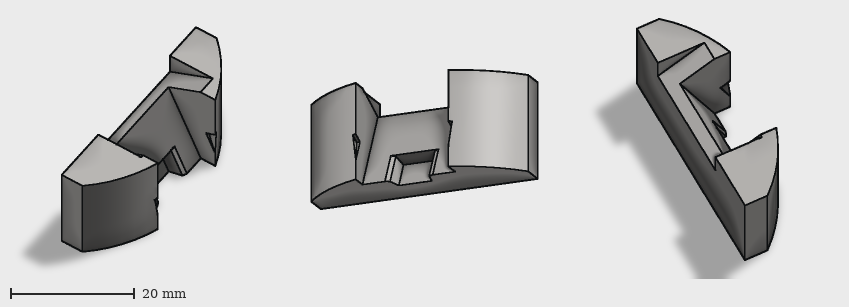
import cadquery as cq
import math

length = 38.1
height = 16.5
end_width = 4.08
max_width = 11.35
slot_width = 16.25
half_length = length / 2
half_slot = slot_width / 2

ramp_depth = 3.95
ramp_run = 8.45
ramp_y_min = -8.65
ramp_y_max = 11.65
ramp_angle = math.atan2(ramp_depth, ramp_run)

lip_width = 2.4
catch_start = 9.1
catch_end = 12.95
catch_depth = 0.57
catch_offset = 3.9
notch_start = 9.25
notch_mouth_width = 8.4
notch_throat_width = 6.85
notch_floor_width = 5.8
notch_throat_depth = 0.3
notch_depth = 2.45
reach = 2 * height

ramp_plane = cq.Plane(
    origin=(0, 0, -ramp_depth),
    xDir=(math.cos(ramp_angle), 0, math.sin(ramp_angle)),
    normal=(-math.sin(ramp_angle), 0, math.cos(ramp_angle)),
)


def make_body():
    center_x = (max_width**2 + half_slot**2 - end_width**2 - half_length**2) / (2 * (max_width - end_width))
    radius = math.hypot(end_width - center_x, half_length)
    return (
        cq.Workplane("XY")
        .moveTo(0, -half_length)
        .lineTo(end_width, -half_length)
        .threePointArc((center_x + radius, 0), (end_width, half_length))
        .lineTo(0, half_length)
        .close()
        .extrude(-height)
    )


def make_ramp():
    return (
        cq.Workplane("XZ", origin=(0, ramp_y_max, 0))
        .polyline([(0, 0), (ramp_run, 0), (0, -ramp_depth)])
        .close()
        .extrude(ramp_y_max - ramp_y_min)
    )


def make_slot():
    return (
        cq.Workplane(ramp_plane)
        .center(lip_width, 0)
        .rect(reach, slot_width, centered=(False, True))
        .extrude(reach, both=True)
    )


def make_catches():
    catch_plane = cq.Plane(
        origin=ramp_plane.toWorldCoords((lip_width + catch_offset, 0, 0)),
        xDir=(0, 1, 0),
        normal=ramp_plane.xDir,
    )
    catch = (
        cq.Workplane(catch_plane)
        .polyline([
            (0, -catch_start),
            (half_slot + catch_depth, -catch_start),
            (half_slot, -catch_end),
            (0, -catch_end),
        ])
        .close()
        .extrude(reach)
    )
    return catch.union(catch.mirror("XZ"))


def make_notch():
    throat_x = lip_width - notch_throat_depth
    floor_x = lip_width - notch_depth
    half_section = [
        (lip_width, notch_mouth_width / 2),
        (throat_x, notch_throat_width / 2),
        (floor_x, notch_floor_width / 2),
    ]
    other_half = [(x, -y) for x, y in reversed(half_section)]
    return (
        cq.Workplane(ramp_plane)
        .workplane(offset=-notch_start)
        .polyline(half_section + other_half)
        .close()
        .extrude(-reach)
    )


result = (
    make_body()
    .cut(make_ramp())
    .cut(make_slot())
    .cut(make_catches())
    .cut(make_notch())
)